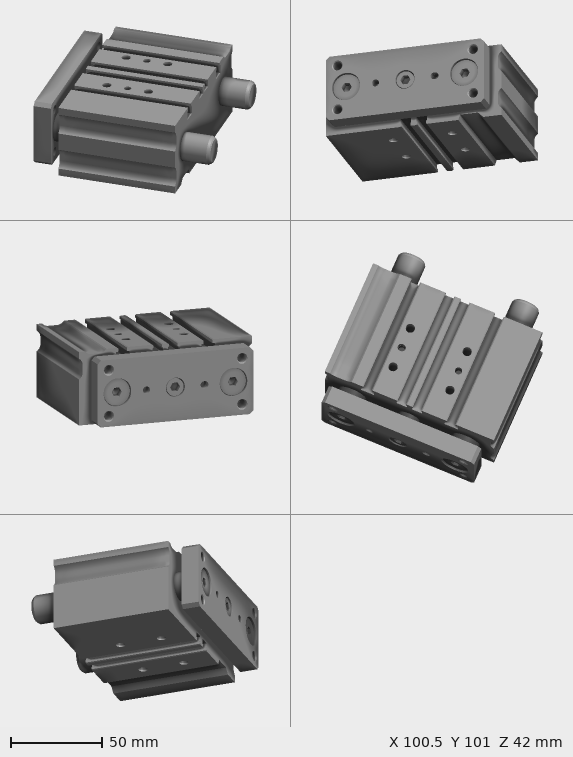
import cadquery as cq
import math


PLATE_THICKNESS = 10.0
HOUSING_START = 16.0
HOUSING_LENGTH = 67.5
OVERALL_LENGTH = 100.5

HOUSING_WIDTH = 101.0
HOUSING_HEIGHT = 42.0
HALF_WIDTH = HOUSING_WIDTH / 2
HALF_HEIGHT = HOUSING_HEIGHT / 2

SLOT_MOUTH = 5.2
SLOT_CHAMFER_RUN = 0.6
SLOT_CHAMFER_DROP = 0.4
T_SLOT_CENTRE = 24.9
T_SLOT_LIP = 2.2
T_SLOT_UNDERCUT = 1.4
T_SLOT_DEPTH = 7.3

SENSOR_SLOT_CENTRE = 4.5
SENSOR_SLOT_LIP = 1.8
SENSOR_SLOT_UNDERCUT = 0.5
SENSOR_SLOT_BEVEL = 0.4
SENSOR_SLOT_DEPTH = 4.8

SIDE_GROOVE_HEIGHT = 10.9
SIDE_GROOVE_HALF_MOUTH = 5.9
SIDE_GROOVE_HALF_FLOOR = 2.0
SIDE_GROOVE_BEVEL_RUN = 0.4

GROOVE_BEVEL_DROP = 0.5
GROOVE_WALL_DEPTH = 1.6

TOP_GROOVE_CENTRE = 41.2
TOP_GROOVE_HALF_MOUTH = 6.9
TOP_GROOVE_HALF_FLOOR = 2.6
TOP_GROOVE_BEVEL_RUN = 0.7

BOTTOM_GROOVE_INNER = 25.7
BOTTOM_GROOVE_OUTER = 40.0
BOTTOM_GROOVE_DEPTH = 3.0
BOTTOM_GROOVE_INNER_RUN = 1.0

MOUNT_HALF_SPACING = 17.0
MOUNT_MIDDLE_X = 44.9
MOUNT_PITCH = 24.0
MOUNT_DIAMETER = 5.0
DOWEL_DIAMETER = 4.0
DOWEL_DEPTH = 6.1
DOWEL_SLOT_LENGTH = 4.5
DOWEL_SLOT_DEPTH = 3.0

PLATE_WIDTH = 91.0
PLATE_HEIGHT = 37.9
PLATE_CHAMFER = 2.0
CORNER_HOLE_Y = 39.0
CORNER_HOLE_Z = 13.0
CORNER_HOLE_DIAMETER = 5.0
CORNER_HOLE_MOUTH = 6.1

ROD_HALF_SPACING = 33.9
ROD_DIAMETER = 16.2
ROD_NECK_DIAMETER = 15.4
ROD_NECK_LENGTH = 1.5
ROD_RECESS = 1.1
ROD_TIP = [(1.9, ROD_DIAMETER / 2), (0.6, 7.3), (0.0, 6.6)]
HEX_FLATS = 5.0
HEX_DEPTH = 4.0
SOCKET_CONE_RADIUS = 2.4
SOCKET_CONE_DEPTH = 1.4

PISTON_DIAMETER = 12.3
PISTON_DEPTH_IN_HOUSING = 50.5
SCREW_HEAD_DIAMETER = 10.0
SCREW_COUNTERBORE = 11.0
SCREW_HEAD_LENGTH = 6.1
SCREW_SHANK_DIAMETER = 6.0
SCREW_END = 20.2
SCREW_RECESS = 0.6

HEX_CORNER_RATIO = 2 / math.sqrt(3)


def rod_along_x(start, length, diameter, y=0.0):
    """Round bar along X at Z = 0."""
    return cq.Workplane("YZ", origin=(start, y, 0)).circle(diameter / 2).extrude(length)


def hex_socket(start):
    """Hexagonal recess on the X axis, cut in from X = start."""
    corners = HEX_FLATS * HEX_CORNER_RATIO
    return cq.Workplane("YZ", origin=(start, 0, 0)).polygon(6, corners).extrude(HEX_DEPTH)


def housing_cut(outline):
    """Run a closed YZ outline along the whole housing."""
    return outline.close().extrude(HOUSING_LENGTH)


def housing_profile_plane():
    return cq.Workplane("YZ", origin=(HOUSING_START, 0, 0))


def undercut_slot(centre, lip, undercut, bevel, depth):
    """Slot in the top face: chamfered mouth, straight lip, wider chamber below."""
    half_mouth = SLOT_MOUTH / 2
    half_chamber = half_mouth + undercut
    half_outline = [
        (half_mouth + SLOT_CHAMFER_RUN, HALF_HEIGHT),
        (half_mouth, HALF_HEIGHT - SLOT_CHAMFER_DROP),
        (half_mouth, HALF_HEIGHT - lip),
        (half_chamber, HALF_HEIGHT - lip - bevel),
        (half_chamber, HALF_HEIGHT - depth),
    ]
    right = [(centre + offset, z) for offset, z in half_outline]
    left = [(centre - offset, z) for offset, z in reversed(half_outline)]
    return housing_cut(housing_profile_plane().polyline(right + left))


def t_slot(centre):
    return undercut_slot(centre, T_SLOT_LIP, T_SLOT_UNDERCUT, 0, T_SLOT_DEPTH)


def sensor_slot(centre):
    return undercut_slot(
        centre, SENSOR_SLOT_LIP, SENSOR_SLOT_UNDERCUT, SENSOR_SLOT_BEVEL, SENSOR_SLOT_DEPTH
    )


def round_wall_groove(half_mouth, half_floor, bevel_run):
    """Groove below Z = 0, open upwards: bevelled mouth, concave walls that run into the floor."""
    floor_z = -GROOVE_BEVEL_DROP - GROOVE_WALL_DEPTH
    wall_top_y = half_mouth - bevel_run
    wall_run = wall_top_y - half_floor
    wall_radius = (wall_run ** 2 + GROOVE_WALL_DEPTH ** 2) / (2 * GROOVE_WALL_DEPTH)
    half_sweep = math.atan(GROOVE_WALL_DEPTH / wall_run)
    middle_y = half_floor + wall_radius * math.sin(half_sweep)
    middle_z = floor_z + wall_radius * (1 - math.cos(half_sweep))
    return housing_cut(
        housing_profile_plane()
        .moveTo(-half_floor, floor_z)
        .lineTo(half_floor, floor_z)
        .threePointArc((middle_y, middle_z), (wall_top_y, -GROOVE_BEVEL_DROP))
        .lineTo(half_mouth, 0)
        .lineTo(-half_mouth, 0)
        .lineTo(-wall_top_y, -GROOVE_BEVEL_DROP)
        .threePointArc((-middle_y, middle_z), (-half_floor, floor_z))
    )


def side_groove(side, z):
    """Groove in the side face at Y = side * HALF_WIDTH."""
    groove = round_wall_groove(SIDE_GROOVE_HALF_MOUTH, SIDE_GROOVE_HALF_FLOOR, SIDE_GROOVE_BEVEL_RUN)
    return groove.rotate((0, 0, 0), (1, 0, 0), -90 * side).translate((0, side * HALF_WIDTH, z))


def top_groove():
    """Groove in the top face together with the lowered shoulder between it and the +Y side."""
    groove = round_wall_groove(TOP_GROOVE_HALF_MOUTH, TOP_GROOVE_HALF_FLOOR, TOP_GROOVE_BEVEL_RUN)
    shoulder = cq.Workplane("XY").box(
        HOUSING_LENGTH, HALF_WIDTH - TOP_GROOVE_CENTRE, GROOVE_BEVEL_DROP, centered=False
    ).translate((HOUSING_START, TOP_GROOVE_CENTRE, HALF_HEIGHT - GROOVE_BEVEL_DROP))
    return shoulder.union(groove.translate((0, TOP_GROOVE_CENTRE, HALF_HEIGHT)))


def bottom_groove():
    """Flat groove with a steep inner wall and a 45 degree outer wall."""
    floor_z = BOTTOM_GROOVE_DEPTH - HALF_HEIGHT
    return housing_cut(
        housing_profile_plane().polyline([
            (-BOTTOM_GROOVE_OUTER, -HALF_HEIGHT),
            (-BOTTOM_GROOVE_OUTER + BOTTOM_GROOVE_DEPTH, floor_z),
            (-BOTTOM_GROOVE_INNER - BOTTOM_GROOVE_INNER_RUN, floor_z),
            (-BOTTOM_GROOVE_INNER, -HALF_HEIGHT),
        ])
    )


def slotted_dowel_hole(plane):
    """Blind hole along the plane's normal; its mouth is lengthened along the plane's X axis."""
    hole = plane.circle(DOWEL_DIAMETER / 2).extrude(-DOWEL_DEPTH)
    return hole.union(plane.slot2D(DOWEL_SLOT_LENGTH, DOWEL_DIAMETER).extrude(-DOWEL_SLOT_DEPTH))


def mounting_holes():
    """Two through holes and a dowel hole in each row; the +Y dowel hole is slotted along Y."""
    cuts = cq.Workplane("XY", origin=(MOUNT_MIDDLE_X, 0, -HALF_HEIGHT)).rarray(
        MOUNT_PITCH, 2 * MOUNT_HALF_SPACING, 2, 2
    ).circle(MOUNT_DIAMETER / 2).extrude(HOUSING_HEIGHT)
    round_dowel = cq.Workplane("XY", origin=(MOUNT_MIDDLE_X, -MOUNT_HALF_SPACING, HALF_HEIGHT))
    slot_plane = cq.Plane((MOUNT_MIDDLE_X, MOUNT_HALF_SPACING, HALF_HEIGHT), (0, 1, 0), (0, 0, 1))
    cuts = cuts.union(round_dowel.circle(DOWEL_DIAMETER / 2).extrude(-DOWEL_DEPTH))
    return cuts.union(slotted_dowel_hole(cq.Workplane(slot_plane)))


def make_housing():
    housing = cq.Workplane("XY").box(
        HOUSING_LENGTH, HOUSING_WIDTH, HOUSING_HEIGHT, centered=(False, True, True)
    ).translate((HOUSING_START, 0, 0))

    for side in (-1, 1):
        housing = housing.cut(t_slot(side * T_SLOT_CENTRE))
        sensor = sensor_slot(side * SENSOR_SLOT_CENTRE)
        housing = housing.cut(sensor).cut(sensor.mirror("XY"))
        housing = housing.cut(side_groove(side, SIDE_GROOVE_HEIGHT))
        rod_bore = rod_along_x(HOUSING_START, HOUSING_LENGTH, ROD_DIAMETER, side * ROD_HALF_SPACING)
        housing = housing.cut(rod_bore)
    housing = housing.cut(side_groove(-1, -SIDE_GROOVE_HEIGHT))
    housing = housing.cut(top_groove()).cut(bottom_groove())
    housing = housing.cut(mounting_holes())
    return housing.cut(rod_along_x(HOUSING_START, PISTON_DEPTH_IN_HOUSING, PISTON_DIAMETER))


def make_plate():
    plate = cq.Workplane("XY").box(
        PLATE_THICKNESS, PLATE_WIDTH, PLATE_HEIGHT, centered=(False, True, True)
    ).edges("|X").chamfer(PLATE_CHAMFER)

    hole_radius = CORNER_HOLE_DIAMETER / 2
    mouth_radius = CORNER_HOLE_MOUTH / 2
    corner_hole = cq.Workplane("XY").polyline([
        (0, 0),
        (0, mouth_radius),
        (mouth_radius - hole_radius, hole_radius),
        (PLATE_THICKNESS, hole_radius),
        (PLATE_THICKNESS, 0),
    ]).close().revolve(360, (0, 0, 0), (1, 0, 0))
    for y in (-CORNER_HOLE_Y, CORNER_HOLE_Y):
        for z in (-CORNER_HOLE_Z, CORNER_HOLE_Z):
            plate = plate.cut(corner_hole.translate((0, y, z)))

    plate = plate.cut(rod_along_x(0, DOWEL_DEPTH, DOWEL_DIAMETER, MOUNT_HALF_SPACING))
    slot_plane = cq.Plane((0, -MOUNT_HALF_SPACING, 0), (0, 1, 0), (-1, 0, 0))
    plate = plate.cut(slotted_dowel_hole(cq.Workplane(slot_plane)))

    for y in (-ROD_HALF_SPACING, ROD_HALF_SPACING):
        plate = plate.cut(rod_along_x(0, PLATE_THICKNESS, ROD_DIAMETER, y))
    plate = plate.cut(rod_along_x(0, SCREW_RECESS + SCREW_HEAD_LENGTH, SCREW_COUNTERBORE))
    return plate.cut(rod_along_x(0, PLATE_THICKNESS, SCREW_SHANK_DIAMETER))


def make_guide_rod(y):
    """Rod through plate and housing: necked front end with a hex socket, double-chamfered tip."""
    neck_end = ROD_RECESS + ROD_NECK_LENGTH
    front_outline = [
        (ROD_RECESS, 0),
        (ROD_RECESS, ROD_NECK_DIAMETER / 2),
        (neck_end, ROD_NECK_DIAMETER / 2),
        (neck_end, ROD_DIAMETER / 2),
    ]
    tip_outline = [(OVERALL_LENGTH - distance, radius) for distance, radius in ROD_TIP]
    outline = front_outline + tip_outline + [(OVERALL_LENGTH, 0)]
    rod = cq.Workplane("XY").polyline(outline).close().revolve(360, (0, 0, 0), (1, 0, 0))
    rod = rod.cut(hex_socket(ROD_RECESS))

    cone = cq.Solid.makeCone(
        SOCKET_CONE_RADIUS, 0, SOCKET_CONE_DEPTH, cq.Vector(ROD_RECESS + HEX_DEPTH, 0, 0), cq.Vector(1, 0, 0)
    )
    return rod.cut(cq.Workplane(cone)).translate((0, y, 0))


def make_piston_rod():
    length = HOUSING_START + PISTON_DEPTH_IN_HOUSING - PLATE_THICKNESS
    rod = rod_along_x(PLATE_THICKNESS, length, PISTON_DIAMETER)
    return rod.cut(rod_along_x(PLATE_THICKNESS, SCREW_END - PLATE_THICKNESS, SCREW_SHANK_DIAMETER))


def make_piston_screw():
    """Socket head screw, sunk into the plate front, that holds the piston rod."""
    screw = rod_along_x(SCREW_RECESS, SCREW_HEAD_LENGTH, SCREW_HEAD_DIAMETER)
    shank_length = SCREW_END - SCREW_RECESS
    screw = screw.union(rod_along_x(SCREW_RECESS, shank_length, SCREW_SHANK_DIAMETER))
    return screw.cut(hex_socket(SCREW_RECESS))


housing = make_housing()
plate = make_plate()
guide_rods = [make_guide_rod(y) for y in (-ROD_HALF_SPACING, ROD_HALF_SPACING)]
piston_rod = make_piston_rod()
piston_screw = make_piston_screw()

result = cq.Compound.makeCompound([
    housing.val(),
    plate.val(),
    *[rod.val() for rod in guide_rods],
    piston_rod.val(),
    piston_screw.val(),
])